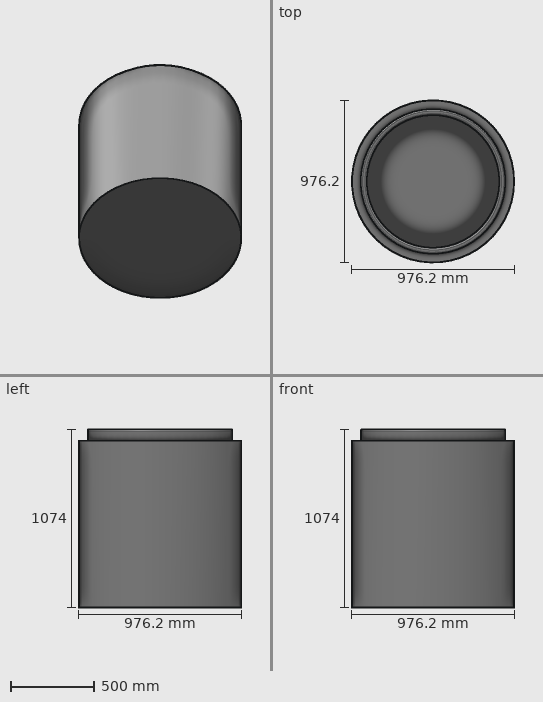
import cadquery as cq

height = 1074.0
outer_radius = 488.1
base_thickness = 120.0

rim_height = 69.0
rim_radius = 435.0
rim_round = 10.0

bore_radius = 398.0
mouth_radius = 402.0

shoulder_z = height - rim_height

body = (
    cq.Workplane("XZ")
    .polyline([
        (0, 0),
        (outer_radius, 0),
        (outer_radius, shoulder_z),
        (rim_radius, shoulder_z),
        (rim_radius, height),
        (mouth_radius, height),
        (bore_radius, shoulder_z),
        (bore_radius, base_thickness),
        (0, base_thickness),
    ])
    .close()
    .revolve(360, (0, 0, 0), (0, 1, 0))
)

result = body.faces(">Z").edges("%CIRCLE").fillet(rim_round)